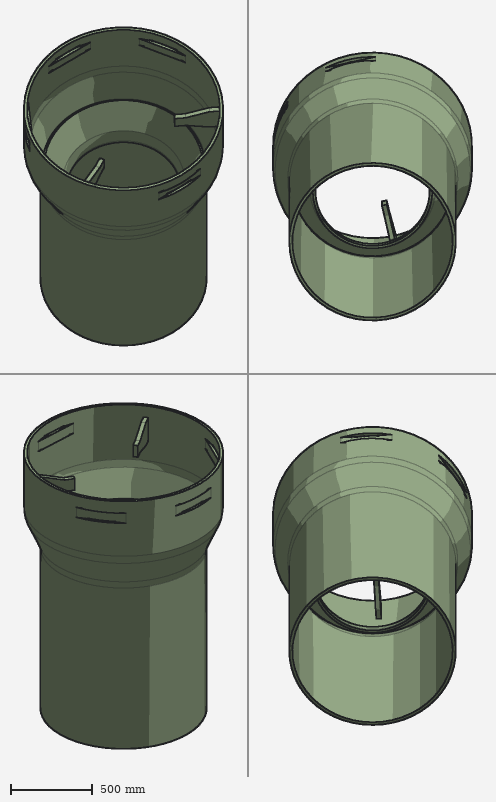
import cadquery as cq
import math

HEIGHT = 1800.0
SOCKET_RADIUS = 1220.0 / 2
PIPE_RADIUS = 1020.0 / 2
WALL = 20.0
CONE_TOP_Z = 1386.0
CONE_BOTTOM_Z = 1161.0
BEND_INSIDE_RADIUS = 122.0
BEND_OUTSIDE_RADIUS = BEND_INSIDE_RADIUS + WALL
SOCKET_BORE_RADIUS = SOCKET_RADIUS - WALL
PIPE_BORE_RADIUS = PIPE_RADIUS - WALL

FLAT_ANGLES = (0, 120, 180, 240)
FLAT_WIDTH = 311.0
FLAT_TOP_Z = 1717.0
FLAT_BOTTOM_Z = 1647.0

FUNNEL_WALL = 16.0
THROAT_BORE_RADIUS = 350.0
THROAT_RADIUS = THROAT_BORE_RADIUS + FUNNEL_WALL
FUNNEL_TILT = 35.0
FUNNEL_RIM_RADIUS = 499.0
FUNNEL_RIM_Z = 1188.0
FUNNEL_BEND_INSIDE_RADIUS = 113.0
THROAT_LENGTH = 54.0

VANE_ANGLES = (60, -60)
VANE_THICKNESS = 30.0
VANE_TIP_RADIUS = 315.0
VANE_SLOPE_START_RADIUS = 380.0
VANE_SLOPE_END_RADIUS = 527.0
VANE_TIP_TOP_Z = 1674.0
VANE_TIP_BOTTOM_Z = 1593.0
VANE_ROOT_TOP_Z = 1719.0
VANE_ROOT_BOTTOM_Z = 1557.0


def revolve_profile(points):
    """Turn an outline of (radius, z) points about the Z axis."""
    profile = cq.Workplane("XZ").polyline(points).close()
    return profile.revolve(360, (0, 0, 0), (0, 1, 0))


def round_corner(body, z, radius):
    """Round the circular edge that lies at height z."""
    tolerance = 0.02
    edges = body.edges("%CIRCLE").filter(lambda edge: abs(edge.Center().z - z) < tolerance)
    return edges.fillet(radius)


def make_housing():
    cone_angle = math.atan2(SOCKET_RADIUS - PIPE_RADIUS, CONE_TOP_Z - CONE_BOTTOM_Z)
    corner_rise = WALL * math.tan(cone_angle / 2)
    bore_top_z = CONE_TOP_Z + corner_rise
    bore_bottom_z = CONE_BOTTOM_Z + corner_rise

    housing = revolve_profile([
        (PIPE_RADIUS, 0),
        (PIPE_RADIUS, CONE_BOTTOM_Z),
        (SOCKET_RADIUS, CONE_TOP_Z),
        (SOCKET_RADIUS, HEIGHT),
        (SOCKET_BORE_RADIUS, HEIGHT),
        (SOCKET_BORE_RADIUS, bore_top_z),
        (PIPE_BORE_RADIUS, bore_bottom_z),
        (PIPE_BORE_RADIUS, 0),
    ])
    housing = round_corner(housing, CONE_TOP_Z, BEND_OUTSIDE_RADIUS)
    housing = round_corner(housing, bore_top_z, BEND_INSIDE_RADIUS)
    housing = round_corner(housing, CONE_BOTTOM_Z, BEND_INSIDE_RADIUS)
    housing = round_corner(housing, bore_bottom_z, BEND_OUTSIDE_RADIUS)

    for angle in FLAT_ANGLES:
        housing = housing.cut(make_flat_block(SOCKET_RADIUS, angle))
        housing = housing.union(make_flat_plate(angle))
    return housing


def chord_distance(radius):
    """Distance from the axis to a chord as long as a flat is wide."""
    return math.sqrt(radius**2 - (FLAT_WIDTH / 2)**2)


def make_flat_block(end_distance, angle, start_distance=0.0):
    """Block as wide and high as a flat, between two distances from the axis."""
    block = cq.Workplane("XY").box(
        end_distance - start_distance,
        FLAT_WIDTH,
        FLAT_TOP_Z - FLAT_BOTTOM_Z,
        centered=(False, True, False),
    )
    return block.translate((start_distance, 0, FLAT_BOTTOM_Z)).rotate((0, 0, 0), (0, 0, 1), angle)


def make_flat_plate(angle):
    """Plate whose faces span the chords of the socket's outside and bore."""
    return make_flat_block(chord_distance(SOCKET_RADIUS), angle, chord_distance(SOCKET_BORE_RADIUS))


def make_funnel():
    tilt = math.radians(FUNNEL_TILT)
    outer_corner_z = FUNNEL_RIM_Z - (FUNNEL_RIM_RADIUS - THROAT_RADIUS) / math.tan(tilt)
    inner_corner_z = outer_corner_z + FUNNEL_WALL * math.tan(tilt / 2)
    throat_end_z = outer_corner_z - THROAT_LENGTH
    rim_inner_radius = FUNNEL_RIM_RADIUS - FUNNEL_WALL * math.cos(tilt)
    rim_inner_z = FUNNEL_RIM_Z + FUNNEL_WALL * math.sin(tilt)

    funnel = revolve_profile([
        (THROAT_RADIUS, throat_end_z),
        (THROAT_RADIUS, outer_corner_z),
        (FUNNEL_RIM_RADIUS, FUNNEL_RIM_Z),
        (rim_inner_radius, rim_inner_z),
        (THROAT_BORE_RADIUS, inner_corner_z),
        (THROAT_BORE_RADIUS, throat_end_z),
    ])
    funnel = round_corner(funnel, outer_corner_z, FUNNEL_BEND_INSIDE_RADIUS)
    return round_corner(funnel, inner_corner_z, FUNNEL_BEND_INSIDE_RADIUS + FUNNEL_WALL)


def make_vane(angle):
    outline = cq.Workplane("XZ").polyline([
        (VANE_TIP_RADIUS, VANE_TIP_BOTTOM_Z),
        (VANE_SLOPE_START_RADIUS, VANE_TIP_BOTTOM_Z),
        (VANE_SLOPE_END_RADIUS, VANE_ROOT_BOTTOM_Z),
        (SOCKET_RADIUS, VANE_ROOT_BOTTOM_Z),
        (SOCKET_RADIUS, VANE_ROOT_TOP_Z),
        (VANE_SLOPE_END_RADIUS, VANE_ROOT_TOP_Z),
        (VANE_SLOPE_START_RADIUS, VANE_TIP_TOP_Z),
        (VANE_TIP_RADIUS, VANE_TIP_TOP_Z),
    ]).close()
    plate = outline.extrude(VANE_THICKNESS / 2, both=True)
    bore = cq.Workplane("XY").circle(SOCKET_BORE_RADIUS).extrude(HEIGHT)
    return plate.intersect(bore).rotate((0, 0, 0), (0, 0, 1), angle)


housing = make_housing()
funnel = make_funnel()
vanes = [make_vane(angle) for angle in VANE_ANGLES]

result = cq.Compound.makeCompound([
    housing.val(),
    funnel.val(),
    *[vane.val() for vane in vanes],
])